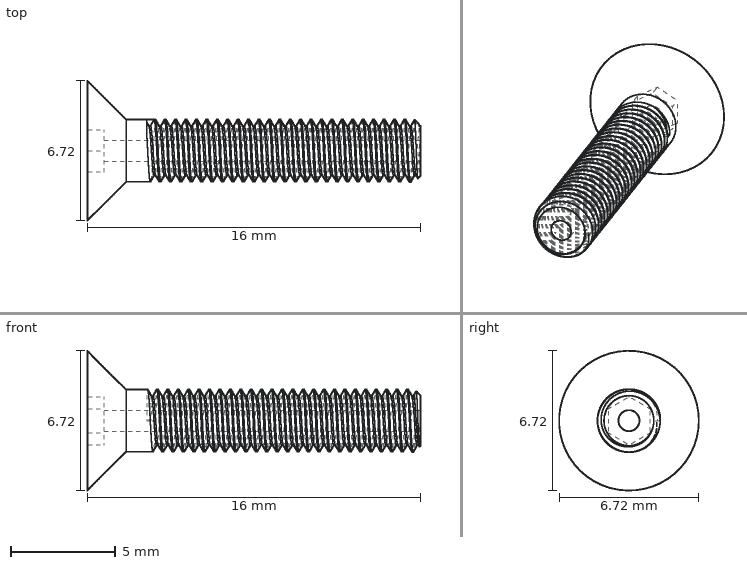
import cadquery as cq
import math

total_length = 16.0
thread_diameter = 3.0
pitch = 0.5
head_diameter = 6.72
plain_shank_length = 1.0
tip_chamfer = 0.3
hex_across_flats = 2.0
hex_depth = 0.8
bore_diameter = 1.0

thread_radius = thread_diameter / 2
head_radius = head_diameter / 2
head_height = head_radius - thread_radius
thread_start = head_height + plain_shank_length
thread_length = total_length - thread_start

flank_half_angle = math.radians(30)
crest_width = pitch / 8
thread_depth = 0.6134 * pitch
crest_clearance = 0.02
groove_start_offset = 0.13


def make_blank():
    """Conical head and cylindrical shank with a chamfered tip, as one profile revolved about X."""
    profile = [
        (0, 0),
        (0, head_radius),
        (head_height, thread_radius),
        (total_length - tip_chamfer, thread_radius),
        (total_length, thread_radius - tip_chamfer),
        (total_length, 0),
    ]
    return cq.Workplane("XY").polyline(profile).close().revolve(360, (0, 0), (1, 0))


def make_groove():
    """Right-handed thread groove that starts on the +Y side and runs out past the tip."""
    flank_slope = math.tan(flank_half_angle)
    crest_half_gap = (pitch - crest_width) / 2
    root_radius = thread_radius - thread_depth
    outer_radius = thread_radius + crest_clearance
    root_half_width = crest_half_gap - thread_depth * flank_slope
    outer_half_width = crest_half_gap + crest_clearance * flank_slope
    profile = [
        (root_radius, -root_half_width),
        (outer_radius, -outer_half_width),
        (outer_radius, outer_half_width),
        (root_radius, root_half_width),
    ]

    helix = cq.Wire.makeHelix(pitch, thread_length + pitch, thread_radius)
    groove = cq.Workplane("XZ").polyline(profile).close().sweep(cq.Workplane(helix), isFrenet=True)
    groove = groove.translate((0, 0, groove_start_offset))
    keep_zone = cq.Workplane("XY").circle(head_radius).extrude(total_length)
    groove = groove.intersect(keep_zone)

    groove = groove.rotate((0, 0, 0), (0, 0, 1), 90)
    groove = groove.rotate((0, 0, 0), (0, 1, 0), 90)
    return groove.translate((thread_start, 0, 0))


def make_hex_socket():
    """Hexagonal recess in the head face, with two corners on the Z axis."""
    across_corners = hex_across_flats / math.cos(math.pi / 6)
    hexagon = cq.Workplane("YZ").polygon(6, across_corners).extrude(hex_depth)
    return hexagon.rotate((0, 0, 0), (1, 0, 0), 90)


def make_bore():
    """Axial hole through the whole screw."""
    return cq.Workplane("YZ").circle(bore_diameter / 2).extrude(total_length)


screw = make_blank().cut(make_groove())
result = screw.cut(make_hex_socket()).cut(make_bore())